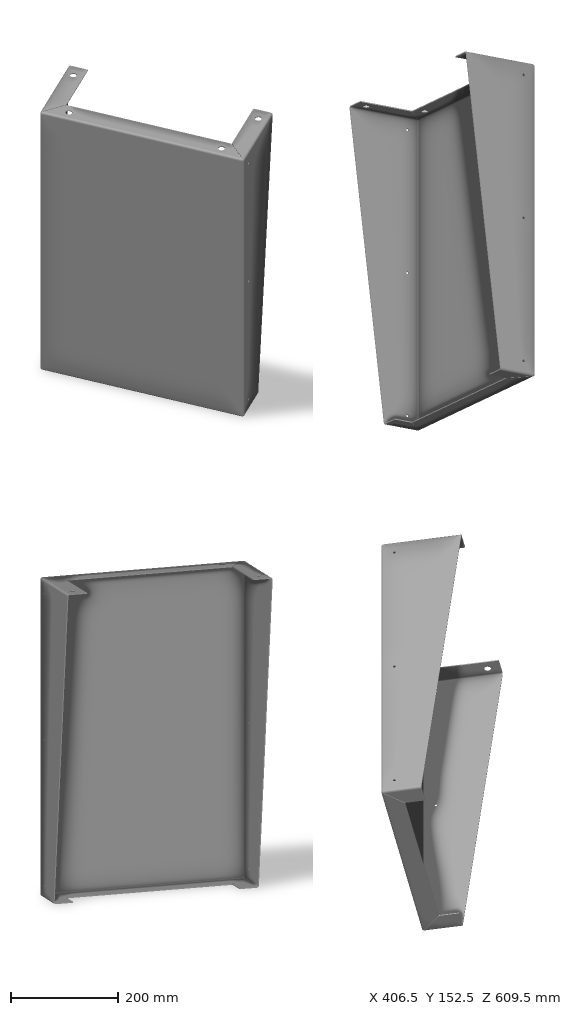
import cadquery as cq
import math

WIDTH = 406.5
DEPTH = 152.5
HEIGHT = 609.5
BOTTOM_DEPTH = 77.0

SHEET = 2.0
BEND_RADIUS = 4.0
INNER_RADIUS = BEND_RADIUS - SHEET
FLANGE_WIDTH = 38.5
MITRE_GAP = 1.0

FLANGE_HOLE_DIAMETER = 13.0
SIDE_HOLE_X = 19.0
SIDE_HOLE_FROM_BACK = 25.0
FRONT_HOLE_X = 51.0
FRONT_HOLE_Y = 19.0
WALL_HOLE_DIAMETER = 5.1
WALL_HOLE_INSET = 25.5


def side_profile(inset):
    """Closed YZ outline of the hood, moved inward at the front, top and bottom."""
    slope_start = HEIGHT - BEND_RADIUS
    return [
        (inset, inset),
        (BOTTOM_DEPTH, inset),
        (BOTTOM_DEPTH, BEND_RADIUS),
        (DEPTH, slope_start),
        (DEPTH, HEIGHT - inset),
        (inset, HEIGHT - inset),
    ]


def rounded_block(inset, radius):
    """Solid wedge whose folded edges are rounded."""
    block = (
        cq.Workplane("YZ", origin=(inset, 0, 0))
        .polyline(side_profile(inset))
        .close()
        .extrude(WIDTH - 2 * inset)
    )
    front_edges = block.faces("<Y").edges()
    flange_edges = block.faces(">Z or <Z").edges("|Y")
    return front_edges.add(flange_edges).fillet(radius)


def hood_shell():
    """Wedge hollowed to sheet thickness, leaving U-shaped flanges at the top and bottom."""
    shell = rounded_block(0, BEND_RADIUS).cut(rounded_block(SHEET, INNER_RADIUS))
    opening = (
        cq.Workplane("XY", origin=(FLANGE_WIDTH, FLANGE_WIDTH, 0))
        .rect(WIDTH - 2 * FLANGE_WIDTH, DEPTH, centered=False)
        .extrude(HEIGHT)
    )
    return shell.cut(opening)


def mitre_slits():
    """Narrow diagonal slits that part the flanges at both corners, top and bottom."""
    shift = MITRE_GAP / math.sqrt(2)
    start = BEND_RADIUS
    end = FLANGE_WIDTH
    left = (
        cq.Workplane("XY")
        .polyline([
            (start + shift, start),
            (end + shift, end),
            (end, end + shift),
            (start, start + shift),
        ])
        .close()
        .extrude(SHEET)
    )
    left = left.union(left.translate((0, 0, HEIGHT - SHEET)))
    return left.union(left.mirror("YZ", (WIDTH / 2, 0, 0)))


def top_flange_holes():
    """Drills for the two holes in the front flange and one in each side flange."""
    side_hole_y = DEPTH - SIDE_HOLE_FROM_BACK
    centres = []
    for x, y in [(SIDE_HOLE_X, side_hole_y), (FRONT_HOLE_X, FRONT_HOLE_Y)]:
        centres += [(x, y), (WIDTH - x, y)]
    return (
        cq.Workplane("XY", origin=(0, 0, HEIGHT - SHEET))
        .pushPoints(centres)
        .circle(FLANGE_HOLE_DIAMETER / 2)
        .extrude(SHEET)
    )


def side_wall_holes():
    """Drills for three small holes in a column through both side walls."""
    heights = [WALL_HOLE_INSET, HEIGHT / 2, HEIGHT - WALL_HOLE_INSET]
    return (
        cq.Workplane("YZ")
        .pushPoints([(WALL_HOLE_INSET, z) for z in heights])
        .circle(WALL_HOLE_DIAMETER / 2)
        .extrude(WIDTH)
    )


result = hood_shell().cut(mitre_slits()).cut(top_flange_holes()).cut(side_wall_holes())